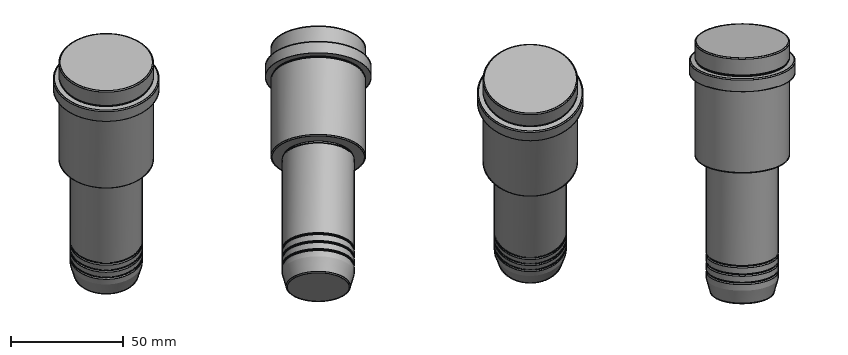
import cadquery as cq
import math

total_length = 120.0
edge_chamfer = 0.5

head_radius = 21.0
head_height = 9.0

collar_radius = 23.5
collar_height = 6.0

body_radius = head_radius
body_height = 40.0
shank_radius = 16.0

neck_depth = 0.5
collar_neck_height = 0.5
shank_neck_height = 1.0

nose_height = 7.0
nose_taper_angle = 15.0

groove_count = 3
groove_pitch = 4.0
groove_width = 1.0
groove_depth = 0.5
groove_slope_height = 0.5
lowest_groove_height = 10.0

nose_tip_radius = shank_radius - (nose_height - edge_chamfer) * math.tan(math.radians(nose_taper_angle))

collar_top = total_length - head_height
collar_bottom = collar_top - collar_height
body_bottom = collar_bottom - body_height
head_bottom = collar_top + collar_neck_height
body_top = collar_bottom - collar_neck_height
shank_top = body_bottom - shank_neck_height


def section(radius, bottom, top):
    """Upright cylinder on the Z axis between two heights."""
    return cq.Workplane("XY").workplane(offset=bottom).circle(radius).extrude(top - bottom)


def make_nose():
    """Tapered nose with a chamfered tip."""
    outline = (
        cq.Workplane("XZ")
        .lineTo(nose_tip_radius - edge_chamfer, 0)
        .lineTo(nose_tip_radius, edge_chamfer)
        .lineTo(shank_radius, nose_height)
        .lineTo(0, nose_height)
        .close()
    )
    return outline.revolve(360, (0, 0, 0), (0, 1, 0))


def make_groove(height):
    """Cutting ring for a groove whose lower edge is at the given height."""
    outline = (
        cq.Workplane("XZ")
        .moveTo(shank_radius, height)
        .lineTo(shank_radius - groove_depth, height + groove_slope_height)
        .lineTo(shank_radius - groove_depth, height + groove_width)
        .lineTo(shank_radius, height + groove_width)
        .close()
    )
    return outline.revolve(360, (0, 0, 0), (0, 1, 0))


head = section(head_radius, head_bottom, total_length).edges().chamfer(edge_chamfer)
collar = section(collar_radius, collar_bottom, collar_top).faces(">Z").edges().chamfer(edge_chamfer)
body = section(body_radius, body_bottom, body_top).edges().chamfer(edge_chamfer)
collar_necks = section(body_radius - neck_depth, body_top, head_bottom)
shank = section(shank_radius, nose_height, shank_top)
shank_neck = section(shank_radius - neck_depth, shank_top, body_bottom)

result = head.union(collar_necks).union(collar).union(body)
result = result.union(shank_neck).union(shank).union(make_nose())
for index in range(groove_count):
    result = result.cut(make_groove(lowest_groove_height + index * groove_pitch))